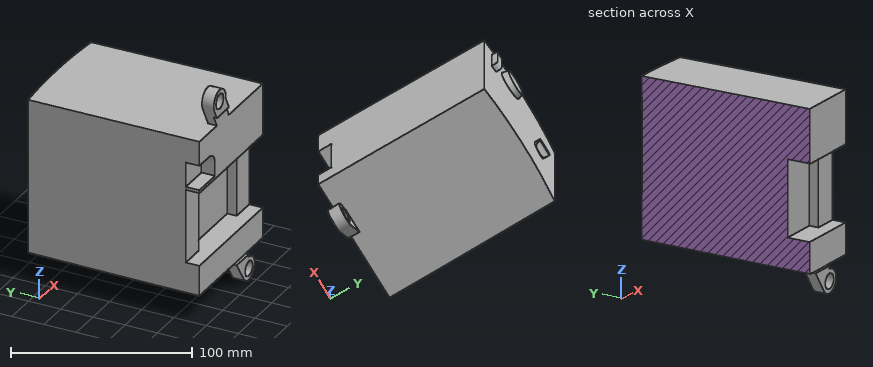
import cadquery as cq
import math

width = 76.1
height = 96.7
base_depth = 27.9
edge_depth = 106.6
crown_depth = 108.5
draft_inset = 0.4
overall_height = 136.0
mid_height = height / 2

channel_bottom = 18.9
channel_top = 64.5
channel_depth = 8.4
pocket_width = 45.7
pocket_extra_depth = 5.8

notch_width = 18.6
notch_bottom = 66.4
notch_height = 15.2
notch_radius = 7.0

lug_radius = 7.2
lug_hole_radius = 4.5
lug_pad = 1.9
lug_back = 5.5
lug_root = 4.1
upper_lug_x = -17.4
upper_lug_z = 112.6
upper_root_left = -17.1
upper_root_right = -2.7
upper_lean = math.radians(27.5)
upper_pad_bottom = 103.6
lower_lug_x = 17.5
lower_lug_z = upper_lug_z + 2 * lug_radius - overall_height
lower_root_left = 2.9
lower_root_right = 17.8

control_tip = 111.8
control_root = 104.7
knob_x = 12.6
knob_z = 77.0
knob_tip_radius = 7.6
knob_draft = 15.0
bar_x = 28.7
bar_z = 75.7
bar_width = 4.2
bar_length = 21.8
bar_tip = 111.2
bar_round = 2.0
pointer_x = -18.5
pointer_z = 41.7
pointer_radius = 5.2
pointer_thickness = 3.3
pointer_flare = 3.5


def box(x0, x1, y0, y1, z0, z1):
    return cq.Workplane("XY").box(x1 - x0, y1 - y0, z1 - z0, centered=False).translate((x0, y0, z0))


def facing_y(y):
    """Sketch plane at the given Y, with local axes X and Z and extrusion toward -Y."""
    return cq.Workplane("XZ", origin=(0, y, 0))


def make_body():
    base = box(-width / 2, width / 2, 0, base_depth, 0, height)
    housing_length = crown_depth - base_depth
    draft = math.degrees(math.atan(draft_inset / housing_length))
    housing = (
        facing_y(base_depth)
        .center(0, mid_height)
        .rect(width, height)
        .extrude(-housing_length, taper=draft)
    )
    bowed_prism = (
        cq.Workplane("XY")
        .moveTo(-width / 2, 0)
        .lineTo(width / 2, 0)
        .lineTo(width / 2, edge_depth)
        .threePointArc((0, crown_depth), (-width / 2, edge_depth))
        .close()
        .extrude(height)
    )
    return base.union(housing.intersect(bowed_prism))


def make_channel():
    channel = box(-width / 2, width / 2, 0, channel_depth, channel_bottom, channel_top)
    pocket_depth = channel_depth + pocket_extra_depth
    pocket = box(-pocket_width / 2, pocket_width / 2, 0, pocket_depth, channel_bottom, channel_top)
    return channel.union(pocket)


def make_notch():
    left = -width / 2
    notch = box(left, left + notch_width, 0, channel_depth, notch_bottom, notch_bottom + notch_height)
    return notch.edges("|Y and >X and >Z").fillet(notch_radius)


def make_lug(x, z, arm_points):
    """Round eye joined to a straight-sided arm."""
    thickness = lug_back + lug_pad
    eye = facing_y(lug_back).center(x, z).circle(lug_radius).extrude(thickness)
    arm = facing_y(lug_back).polyline(arm_points).close().extrude(thickness)
    hole = facing_y(lug_back).center(x, z).circle(lug_hole_radius).extrude(thickness)
    return eye.union(arm).cut(hole)


def make_upper_lug():
    slope = math.tan(upper_lean)
    tangent_x = upper_lug_x - lug_radius * math.cos(upper_lean)
    tangent_z = upper_lug_z - lug_radius * math.sin(upper_lean)
    right_at_eye = upper_root_right - (upper_lug_z - height) * slope
    arm = [
        (upper_root_left, height - lug_root),
        (upper_root_left, height),
        (tangent_x, tangent_z),
        (upper_lug_x, upper_lug_z),
        (right_at_eye, upper_lug_z),
        (upper_root_right, height),
        (upper_root_right, height - lug_root),
    ]
    lug = make_lug(upper_lug_x, upper_lug_z, arm)
    below_pad = box(-width / 2, width / 2, -lug_pad, 0, 0, upper_pad_bottom)
    return lug.cut(below_pad)


def make_lower_lug():
    across = lower_lug_x - lower_root_left
    distance = math.hypot(across, lower_lug_z)
    tangent_angle = math.atan2(-lower_lug_z, -across) + math.acos(lug_radius / distance)
    tangent = (
        lower_lug_x + lug_radius * math.cos(tangent_angle),
        lower_lug_z + lug_radius * math.sin(tangent_angle),
    )
    arm = [
        (lower_root_left, lug_root),
        (lower_root_left, 0),
        tangent,
        (lower_lug_x, lower_lug_z),
        (lower_root_right, 0),
        (lower_root_right, lug_root),
    ]
    lug = make_lug(lower_lug_x, lower_lug_z, arm)
    above_pad = box(-width / 2, width / 2, -lug_pad, 0, 0, lug_root)
    return lug.cut(above_pad)


def make_knob():
    return (
        facing_y(control_tip)
        .center(knob_x, knob_z)
        .circle(knob_tip_radius)
        .extrude(control_tip - control_root, taper=-knob_draft)
    )


def make_bar():
    bar = facing_y(bar_tip).center(bar_x, bar_z).rect(bar_width, bar_length).extrude(bar_tip - control_root)
    return bar.edges("|X and >Y").fillet(bar_round)


def make_pointer():
    """Round foot hollowed on both sides to leave a thin ridge."""
    pointer = (
        facing_y(control_tip)
        .center(pointer_x, pointer_z)
        .circle(pointer_radius)
        .extrude(control_tip - control_root)
    )
    for side in (-1, 1):
        hollow_z = pointer_z + side * (pointer_thickness / 2 + pointer_flare)
        hollow = (
            cq.Workplane("YZ", origin=(pointer_x, control_tip, hollow_z))
            .circle(pointer_flare)
            .extrude(pointer_radius, both=True)
        )
        pointer = pointer.cut(hollow)
    return pointer


result = make_body().cut(make_channel()).cut(make_notch())
for feature in (make_upper_lug(), make_lower_lug(), make_knob(), make_bar(), make_pointer()):
    result = result.union(feature)